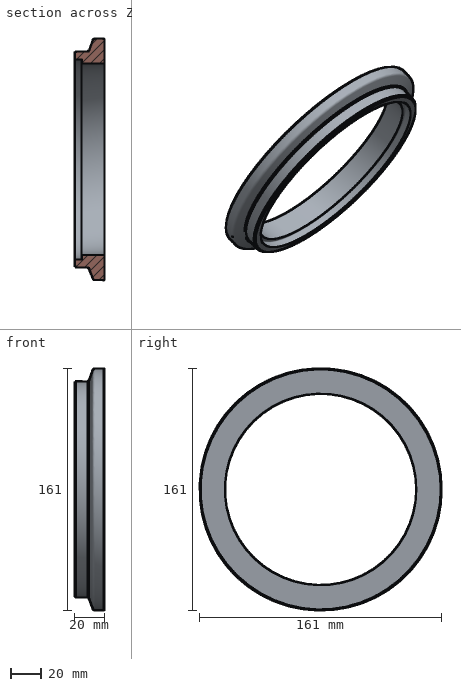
import cadquery as cq
import math

flange_radius = 161 / 2
collar_radius = 144.0 / 2
bore_radius = 127.0 / 2
recess_radius = 133.0 / 2
length = 20.0

recess_depth = 4.7
recess_fillet = 0.5
rim_width = 6.3
rim_start = length - rim_width

cone_angle = math.radians(20)
rim_fillet = 2.0
root_fillet = 1.0
collar_chamfer = 1.0
rim_chamfer = 0.6

corner_setback = rim_fillet * math.tan((math.pi / 2 - cone_angle) / 2)
cone_outer_x = rim_start - corner_setback
cone_inner_x = cone_outer_x - (flange_radius - collar_radius) * math.tan(cone_angle)


def sharp_blank():
    """Revolve the solid outer shape, with sharp edges, about the X axis."""
    profile = (
        cq.Workplane("XY")
        .lineTo(0, collar_radius)
        .lineTo(cone_inner_x, collar_radius)
        .lineTo(cone_outer_x, flange_radius)
        .lineTo(length, flange_radius)
        .lineTo(length, 0)
        .close()
    )
    return profile.revolve(360, (0, 0, 0), (1, 0, 0))


def circle_at(x):
    """Select the circular edge whose centre lies at x on the axis."""
    return cq.selectors.NearestToPointSelector((x, 0, 0))


def round_hole(radius, depth):
    """Cylinder along X, starting at the collar face."""
    return cq.Workplane("YZ").circle(radius).extrude(depth)


flange = sharp_blank()
flange = flange.edges(circle_at(cone_outer_x)).fillet(rim_fillet)
flange = flange.edges(circle_at(cone_inner_x)).fillet(root_fillet)
flange = flange.edges(circle_at(0)).chamfer(collar_chamfer)
flange = flange.edges(circle_at(length)).chamfer(rim_chamfer)

flange = flange.cut(round_hole(bore_radius, length))
recess = round_hole(recess_radius, recess_depth).faces(">X").edges().fillet(recess_fillet)
result = flange.cut(recess)